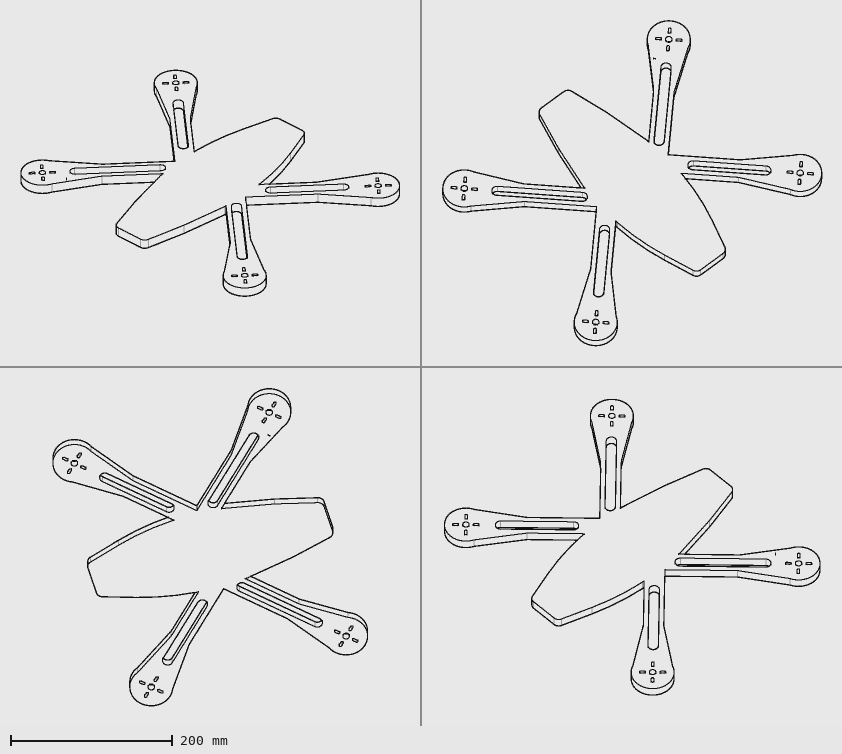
import cadquery as cq
import math

thickness = 12.7
frame_width = 384.67
frame_length = 304.8

pad_radius = 26.7
pad_x = frame_width / 2 - pad_radius
pad_y = frame_length / 2 - pad_radius
shaft_hole_diameter = 8.0
screw_slot_count = 4
screw_slot_radius = 12.7
screw_slot_length = 7.4
screw_slot_width = 3.2

arm_angle = 45.0
arm_width = 25.4
taper_start = 10.3
taper_end = 75.5
front_inner_taper_end = 72.7
arm_length = 190.0
slot_width = 12.7
front_slot_start = 40.5
front_slot_end = 146.3
rear_slot_start = 42.7
rear_slot_end = 133.0

insert_length = 2.5
insert_width = 0.3
insert_distance = 28.8
insert_offset = -15.3

nose_half_width = 24.3
nose_kink = (39.4, -95.0)
nose_joint = (51.6, -32.0)
tail_joint = (52.9, 34.0)
tail_bow_middle = (47.5, 73.0)
tail_bow_start = (38.7, 107.0)
tail_half_width = 24.0
corner_radius = 8.0


def mirror_x(point):
    """Return the point reflected across the frame's long axis."""
    return (-point[0], point[1])


def make_body():
    """Central plate, symmetric about the Y axis, with rounded end corners."""
    half_length = frame_length / 2
    return (
        cq.Workplane("XY")
        .moveTo(-nose_half_width, -half_length)
        .lineTo(nose_half_width, -half_length)
        .lineTo(*nose_kink)
        .lineTo(*nose_joint)
        .lineTo(*tail_joint)
        .threePointArc(tail_bow_middle, tail_bow_start)
        .lineTo(tail_half_width, half_length)
        .lineTo(-tail_half_width, half_length)
        .lineTo(*mirror_x(tail_bow_start))
        .threePointArc(mirror_x(tail_bow_middle), mirror_x(tail_joint))
        .lineTo(*mirror_x(nose_joint))
        .lineTo(*mirror_x(nose_kink))
        .close()
        .extrude(thickness)
        .edges("|Z and (<Y or >Y)")
        .fillet(corner_radius)
    )


def make_arm(inner_taper_end):
    """Arm along +X with its round motor pad on the origin; the arm's inner edge is on the -Y side."""
    half_width = arm_width / 2
    taper_half_width = math.sqrt(pad_radius**2 - taper_start**2)
    return (
        cq.Workplane("XY")
        .moveTo(taper_start, taper_half_width)
        .threePointArc((-pad_radius, 0), (taper_start, -taper_half_width))
        .lineTo(inner_taper_end, -half_width)
        .lineTo(arm_length, -half_width)
        .lineTo(arm_length, half_width)
        .lineTo(taper_end, half_width)
        .close()
        .extrude(thickness)
    )


def make_arm_openings(slot_start, slot_end):
    """Tools for the motor pad holes and the long lightening slot of one arm."""
    openings = cq.Workplane("XY").circle(shaft_hole_diameter / 2).extrude(thickness)
    screw_slots = (
        cq.Workplane("XY")
        .polarArray(screw_slot_radius, 0, 360, screw_slot_count)
        .slot2D(screw_slot_length, screw_slot_width)
        .extrude(thickness)
    )
    long_slot = (
        cq.Workplane("XY")
        .center((slot_start + slot_end) / 2, 0)
        .slot2D(slot_end - slot_start + slot_width, slot_width)
        .extrude(thickness)
    )
    return openings.add(screw_slots).add(long_slot).combine()


def make_insert():
    """Thin strip through the full plate thickness, in the axes of its arm."""
    return (
        cq.Workplane("XY")
        .center(insert_distance, insert_offset)
        .rect(insert_width, insert_length)
        .extrude(thickness)
    )


def place_front_left(shape):
    """Move a shape from an arm's own axes to the front left (-X, -Y) arm."""
    return shape.rotate((0, 0, 0), (0, 0, 1), arm_angle).translate((-pad_x, -pad_y, 0))


def place_on_arms(shape, rear):
    """Return copies of a shape on the left and right arms, at the front or the rear of the frame."""
    left = place_front_left(shape)
    if rear:
        left = left.mirror("XZ")
    return [left, left.mirror("YZ")]


def make_frame():
    """One-piece frame: the central body with four slotted arms and the recess for the insert."""
    front_openings = make_arm_openings(front_slot_start, front_slot_end)
    rear_openings = make_arm_openings(rear_slot_start, rear_slot_end)
    plate = make_body()
    for arm in place_on_arms(make_arm(front_inner_taper_end), rear=False):
        plate = plate.union(arm)
    for arm in place_on_arms(make_arm(taper_end), rear=True):
        plate = plate.union(arm)
    for openings in place_on_arms(front_openings, rear=False):
        plate = plate.cut(openings)
    for openings in place_on_arms(rear_openings, rear=True):
        plate = plate.cut(openings)
    return plate.cut(place_front_left(make_insert()))


frame = make_frame()
insert = place_front_left(make_insert())

result = cq.Compound.makeCompound([frame.val(), insert.val()])